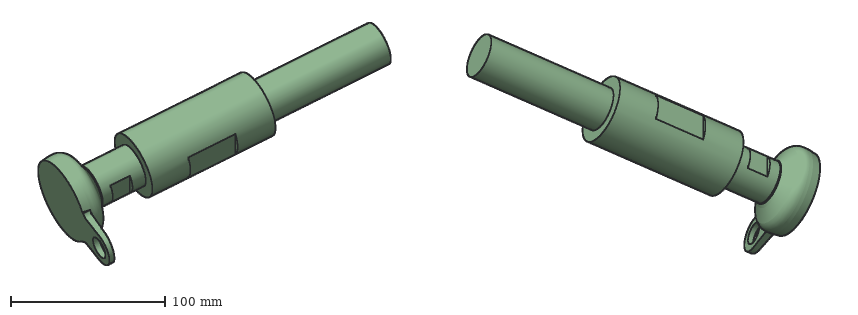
import cadquery as cq
import math

OVERALL_LENGTH = 243.0

FOOT_RADIUS = 30.0
FOOT_BASE_RADIUS = 29.2
RIM_WIDEST_Y = 6.0
RIM_TOP_Y = 8.7
DOME_ARC_RADIUS = 8.0
SHOULDER_RADIUS = 26.5
SHOULDER_Y = 15.3
CONE_TOP_RADIUS = 17.5
CONE_TOP_Y = 19.7
COLLAR_RADIUS = 15.3
COLLAR_START_Y = 21.1
FOOT_TOP_Y = 21.9

LUG_HALF_WIDTH = 12.6
LUG_HOLE_X = 88.0 - FOOT_RADIUS - LUG_HALF_WIDTH
LUG_HOLE_DIAMETER = 15.0
LUG_ROOT_THICKNESS = 5.3
LUG_TIP_THICKNESS = 4.0
LUG_FILLET = 5.3

ROD_RADIUS = 15.0

SLEEVE_RADIUS = 23.0
SLEEVE_START_Y = 55.0
SLEEVE_END_Y = 149.5

SLEEVE_FLAT_HALF_WIDTH = 20.5
SLEEVE_FLAT_START_Y = 84.0
SLEEVE_FLAT_END_Y = 120.3
ROD_FLAT_HALF_WIDTH = 12.0
ROD_FLAT_START_Y = 29.6
ROD_FLAT_END_Y = 44.7


def cylinder(radius, start_y, end_y):
    """Cylinder on the Y axis between two stations."""
    plane = cq.Workplane("XZ", origin=(0, start_y, 0))
    return plane.circle(radius).extrude(start_y - end_y)


def foot_disc():
    """Disc revolved from a profile of (radius, y) points."""
    profile = (
        cq.Workplane("XY")
        .moveTo(0, 0)
        .lineTo(FOOT_BASE_RADIUS, 0)
        .lineTo(FOOT_RADIUS, RIM_WIDEST_Y)
        .lineTo(FOOT_RADIUS, RIM_TOP_Y)
        .radiusArc((SHOULDER_RADIUS, SHOULDER_Y), -DOME_ARC_RADIUS)
        .lineTo(CONE_TOP_RADIUS, CONE_TOP_Y)
        .lineTo(COLLAR_RADIUS, COLLAR_START_Y)
        .lineTo(COLLAR_RADIUS, FOOT_TOP_Y)
        .lineTo(0, FOOT_TOP_Y)
        .close()
    )
    return profile.revolve(360, (0, 0, 0), (0, 1, 0))


def foot_lug():
    """Tapered lug whose sides blend into the disc with concave arcs."""
    blend_z = LUG_HALF_WIDTH + LUG_FILLET
    blend_x = math.sqrt((FOOT_RADIUS + LUG_FILLET) ** 2 - blend_z ** 2)
    share = FOOT_RADIUS / (FOOT_RADIUS + LUG_FILLET)
    root_x = blend_x * share
    root_z = blend_z * share
    tip_x = LUG_HOLE_X + LUG_HALF_WIDTH

    outline = (
        cq.Workplane("XZ")
        .moveTo(0, -root_z)
        .lineTo(root_x, -root_z)
        .radiusArc((blend_x, -LUG_HALF_WIDTH), LUG_FILLET)
        .lineTo(LUG_HOLE_X, -LUG_HALF_WIDTH)
        .threePointArc((tip_x, 0), (LUG_HOLE_X, LUG_HALF_WIDTH))
        .lineTo(blend_x, LUG_HALF_WIDTH)
        .radiusArc((root_x, root_z), LUG_FILLET)
        .lineTo(0, root_z)
        .close()
        .extrude(-LUG_ROOT_THICKNESS)
    )
    wedge = (
        cq.Workplane("XY")
        .moveTo(0, 0)
        .lineTo(tip_x, 0)
        .lineTo(tip_x, LUG_TIP_THICKNESS)
        .lineTo(FOOT_RADIUS, LUG_ROOT_THICKNESS)
        .lineTo(0, LUG_ROOT_THICKNESS)
        .close()
        .extrude(FOOT_RADIUS, both=True)
    )
    hole = (
        cq.Workplane("XZ")
        .center(LUG_HOLE_X, 0)
        .circle(LUG_HOLE_DIAMETER / 2)
        .extrude(-LUG_ROOT_THICKNESS)
    )
    return outline.intersect(wedge).cut(hole)


def cut_flats(body, half_width, radius, start_y, end_y):
    """Cut a pair of flats at x = +/- half_width, reaching out to the radius."""
    depth = radius - half_width
    for side in (-1, 1):
        cutter = cq.Workplane("XY").box(depth, end_y - start_y, 2 * radius)
        middle_x = side * (half_width + depth / 2)
        body = body.cut(cutter.translate((middle_x, (start_y + end_y) / 2, 0)))
    return body


def make_rod_foot():
    """Foot and rod as one body."""
    rod = cylinder(ROD_RADIUS, FOOT_TOP_Y, OVERALL_LENGTH)
    rod = cut_flats(rod, ROD_FLAT_HALF_WIDTH, ROD_RADIUS, ROD_FLAT_START_Y, ROD_FLAT_END_Y)
    return foot_disc().union(foot_lug()).union(rod)


def make_sleeve():
    """Tube whose bore fits the rod."""
    sleeve = cylinder(SLEEVE_RADIUS, SLEEVE_START_Y, SLEEVE_END_Y)
    sleeve = sleeve.cut(cylinder(ROD_RADIUS, SLEEVE_START_Y, SLEEVE_END_Y))
    return cut_flats(
        sleeve, SLEEVE_FLAT_HALF_WIDTH, SLEEVE_RADIUS, SLEEVE_FLAT_START_Y, SLEEVE_FLAT_END_Y
    )


rod_foot = make_rod_foot()
sleeve = make_sleeve()
result = cq.Compound.makeCompound([*rod_foot.vals(), *sleeve.vals()])